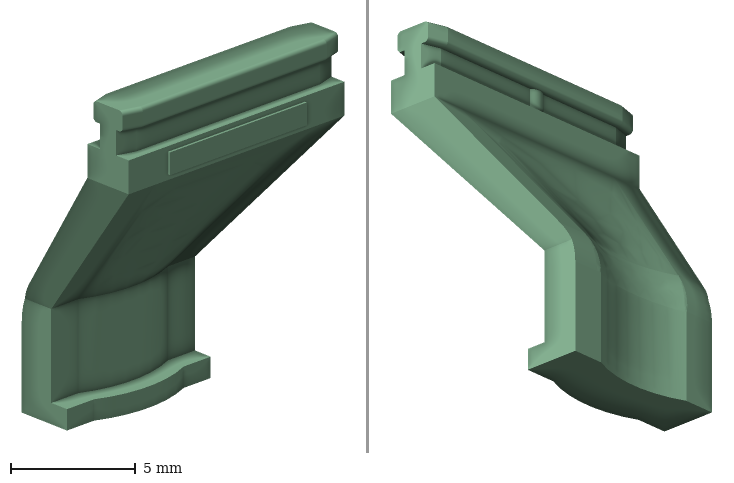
import cadquery as cq

foot_height = 0.93
bend_z = 5.0
total_height = 16.0
cap_height = 0.91
neck_height = 1.1
rail_height = 1.47
cap_z = total_height - cap_height
neck_z = cap_z - neck_height
rail_z = neck_z - rail_height

leg_thickness = 1.71
leg_width = 8.0
foot_reach = 2.62
edge_strip = 1.5
curve_depth = 0.55
bend_radius = 3.0

rail_x = 5.89
rail_thickness = 2.4
rail_width = 12.0
rail_center_x = rail_x + rail_thickness / 2
neck_thickness = 1.44
cap_thickness = 2.2
end_taper_length = 0.88
end_taper_depth = 0.25
cap_edge_radius = 0.2

key_width = 0.8
key_depth = 0.16
key_y = -0.5

panel_depth = 0.11
panel_width = 7.62
panel_height = 1.0


def bowed_section(z, x_front, x_back, width, bow):
    """Closed horizontal outline whose front and back middles bow toward +X."""
    half = width / 2
    inner = half - edge_strip
    outline = cq.Workplane("XY", origin=(0, 0, z)).moveTo(x_front, -half)
    outline = outline.lineTo(x_back, -half).lineTo(x_back, -inner)
    if bow:
        outline = outline.threePointArc((x_back + bow, 0), (x_back, inner))
    else:
        outline = outline.lineTo(x_back, inner)
    outline = outline.lineTo(x_back, half).lineTo(x_front, half).lineTo(x_front, inner)
    if bow:
        outline = outline.threePointArc((x_front + bow, 0), (x_front, -inner))
    else:
        outline = outline.lineTo(x_front, -inner)
    return outline.close()


def tapered_bar(z, thickness, height):
    """Bar along Y on the rail center line, narrowed toward both ends."""
    half_y = rail_width / 2
    shoulder_y = half_y - end_taper_length
    half_x = thickness / 2
    end_x = half_x - end_taper_depth
    corners = [
        (-end_x, -half_y), (end_x, -half_y), (half_x, -shoulder_y), (half_x, shoulder_y),
        (end_x, half_y), (-end_x, half_y), (-half_x, shoulder_y), (-half_x, -shoulder_y),
    ]
    return cq.Workplane("XY", origin=(rail_center_x, 0, z)).polyline(corners).close().extrude(height)


def make_support():
    """Upright leg with its foot, and the web that flares from the leg to the rail."""
    foot = bowed_section(0, 0, foot_reach, leg_width, curve_depth).extrude(foot_height)
    leg = bowed_section(0, 0, leg_thickness, leg_width, curve_depth).extrude(bend_z)
    web_bottom = bowed_section(bend_z, 0, leg_thickness, leg_width, curve_depth).val()
    web_top = bowed_section(rail_z, rail_x, rail_x + rail_thickness, rail_width, 0).val()
    web = cq.Workplane(cq.Solid.makeLoft([web_bottom, web_top], True))
    margin = curve_depth / 2
    bend_edges = cq.selectors.BoxSelector(
        (-margin, -leg_width / 2, bend_z - margin),
        (curve_depth + margin, leg_width / 2, bend_z + margin),
    )
    return leg.union(web).edges(bend_edges).fillet(bend_radius).union(foot)


def make_cap():
    """Tapered cap whose top and bottom edges are rounded, except at the two end faces."""
    cap = tapered_bar(cap_z, cap_thickness, cap_height)
    return cap.edges("(#Z) and (not |X)").fillet(cap_edge_radius)


def make_key():
    """Shallow cylindrical bulge standing on the -X side of the neck."""
    x = rail_center_x - neck_thickness / 2
    half = key_width / 2
    return (
        cq.Workplane("XY", origin=(x, key_y, neck_z))
        .moveTo(0, -half).threePointArc((-key_depth, 0), (0, half))
        .lineTo(key_depth, half).lineTo(key_depth, -half).close()
        .extrude(neck_height)
    )


def make_rail():
    """Rectangular rail with a plain raised panel on its +X face."""
    rail = cq.Workplane("XY").box(rail_thickness, rail_width, rail_height)
    panel = (
        cq.Workplane("XY").box(panel_depth, panel_width, panel_height)
        .translate(((rail_thickness + panel_depth) / 2, 0, 0))
    )
    return rail.union(panel).translate((rail_center_x, 0, rail_z + rail_height / 2))


neck = tapered_bar(neck_z, neck_thickness, neck_height)
result = make_support().union(make_rail()).union(neck).union(make_cap()).union(make_key())